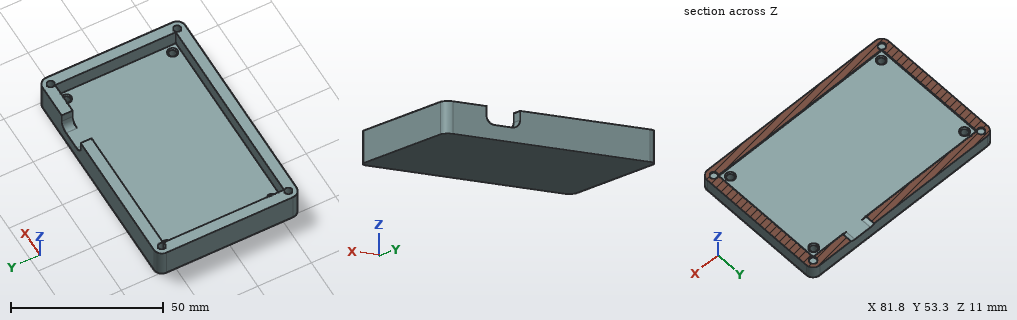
import cadquery as cq

length = 81.8
width = 53.3
height = 11.0
corner_radius = 3.0

wall = 4.1
floor_height = 5.0
pocket_length = length - 2 * wall
pocket_width = width - 2 * wall
pocket_depth = height - floor_height

hole_diameter = 2.7
rim_hole_depth = pocket_depth
rim_hole_spacing_x = length - 2 * corner_radius
rim_hole_spacing_y = width - 2 * corner_radius

floor_hole_spacing_x = 68.1
floor_hole_spacing_y = 39.6
floor_hole_depth = 4.0
floor_hole_chamfer = 0.5

notch_center_x = 18.4
notch_width = 12.9
notch_radius = 2.95


def make_body():
    """Solid block with rounded vertical edges, resting on Z = 0."""
    block = cq.Workplane("XY").box(length, width, height, centered=(True, True, False))
    return block.edges("|Z").fillet(corner_radius)


def make_pocket():
    """Rectangular pocket open at the top."""
    pocket = cq.Workplane("XY").workplane(offset=floor_height)
    return pocket.rect(pocket_length, pocket_width).extrude(pocket_depth)


def make_rim_holes():
    """Four blind holes going down from the rim."""
    return (
        cq.Workplane("XY")
        .workplane(offset=height)
        .rect(rim_hole_spacing_x, rim_hole_spacing_y, forConstruction=True)
        .vertices()
        .circle(hole_diameter / 2)
        .extrude(-rim_hole_depth)
    )


def make_floor_holes():
    """Four blind holes going down from the pocket floor, widened by a chamfer."""
    radius = hole_diameter / 2
    profile = [
        (0, floor_height),
        (radius + floor_hole_chamfer, floor_height),
        (radius, floor_height - floor_hole_chamfer),
        (radius, floor_height - floor_hole_depth),
        (0, floor_height - floor_hole_depth),
    ]
    cutter = cq.Workplane("XZ").polyline(profile).close().revolve(360, (0, 0), (0, 1)).val()
    return (
        cq.Workplane("XY")
        .rect(floor_hole_spacing_x, floor_hole_spacing_y, forConstruction=True)
        .vertices()
        .eachpoint(lambda place: cutter.moved(place), combine=False)
    )


def make_notch():
    """Notch down to the pocket floor, with concave rounds at its lower corners."""
    notch = cq.Workplane("XY").box(notch_width, wall, pocket_depth, centered=(True, True, False))
    notch = notch.faces("<Z").edges("|Y").fillet(notch_radius)
    return notch.translate((notch_center_x, (width - wall) / 2, floor_height))


result = (
    make_body()
    .cut(make_pocket())
    .cut(make_rim_holes())
    .cut(make_floor_holes())
    .cut(make_notch())
)